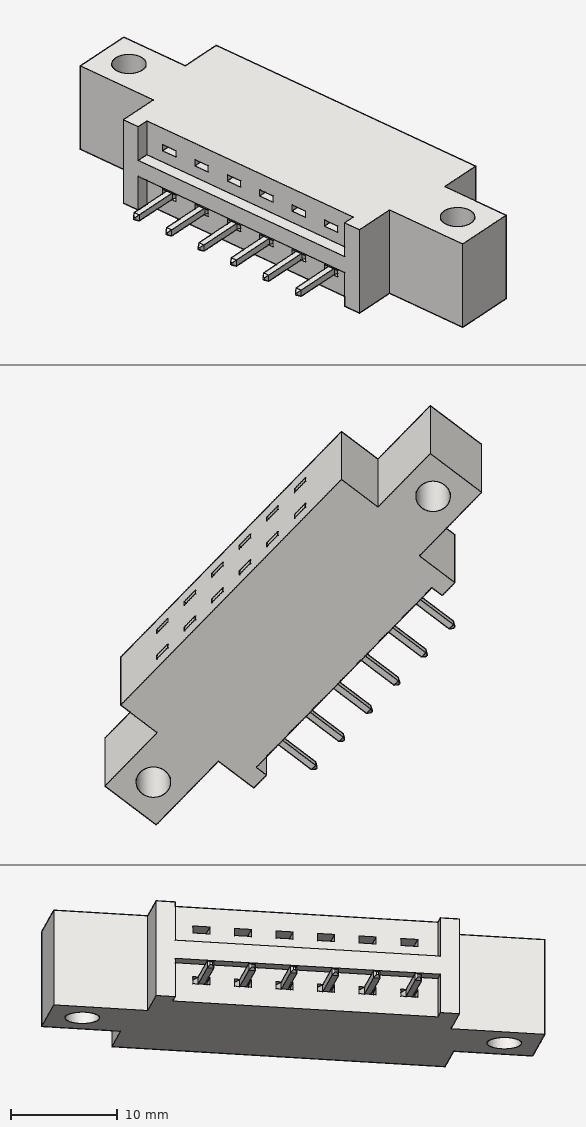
import cadquery as cq

housing_height = 9.4
overall_width = 46.79
rear_width = 31.75
front_width = 28.9
housing_depth = 15.24
flange_rear_y = -4.51
flange_depth = 6.35
flange_front_y = flange_rear_y - flange_depth

mount_hole_diameter = 3.24
mount_hole_spacing = 40.2
mount_hole_y = flange_rear_y - flange_depth / 2

recess_width = 25.25
recess_depth = 1.27
rib_thickness = 1.8
recess_height = (housing_height - rib_thickness) / 2
recess_floor_y = -housing_depth + recess_depth

contact_count = 6
contact_pitch = 3.96
slot_width = 1.62
slot_height = 0.7
slot_edge_offset = 2.19
lower_row_z = slot_edge_offset
upper_row_z = housing_height - slot_edge_offset

blade_side_gap = 0.05
blade_width = slot_width - 2 * blade_side_gap
contact_thickness = slot_height
tail_width = 0.62
tail_projection = 3.82
taper_start_depth = 0.1
taper_length = 1.1
tip_length = 0.36
tip_inset = 0.21
tail_end_y = -housing_depth - tail_projection
taper_front_y = recess_floor_y + taper_start_depth
taper_rear_y = taper_front_y + taper_length

contact_xs = [(i - (contact_count - 1) / 2) * contact_pitch for i in range(contact_count)]


def make_block(width, rear_y, front_y, bottom_z, height):
    """Rectangular block centred on X = 0."""
    return (
        cq.Workplane("XY", origin=(0, (rear_y + front_y) / 2, bottom_z))
        .box(width, rear_y - front_y, height, centered=(True, True, False))
    )


def make_housing():
    """Stepped block with mounting holes, front recesses and through slots."""
    body = make_block(rear_width, 0, flange_front_y, 0, housing_height)
    body = body.union(make_block(overall_width, flange_rear_y, flange_front_y, 0, housing_height))
    body = body.union(make_block(front_width, flange_rear_y, -housing_depth, 0, housing_height))

    mount_holes = (
        cq.Workplane("XY")
        .pushPoints([(side * mount_hole_spacing / 2, mount_hole_y) for side in (-1, 1)])
        .circle(mount_hole_diameter / 2)
        .extrude(housing_height)
    )
    body = body.cut(mount_holes)

    for recess_bottom_z in (0, housing_height - recess_height):
        body = body.cut(
            make_block(recess_width, recess_floor_y, -housing_depth, recess_bottom_z, recess_height)
        )

    slots = (
        cq.Workplane("XZ")
        .pushPoints([(x, z) for x in contact_xs for z in (lower_row_z, upper_row_z)])
        .rect(slot_width, slot_height)
        .extrude(housing_depth)
    )
    return body.cut(slots)


def make_contact(x):
    """One contact: blade, taper and tail cut from flat stock, with a four-sided pointed tip."""
    half_blade = blade_width / 2
    half_tail = tail_width / 2
    tip_base_y = tail_end_y + tip_length

    flat = (
        cq.Workplane("XY", origin=(x, 0, lower_row_z - contact_thickness / 2))
        .polyline([
            (-half_blade, 0),
            (-half_blade, taper_rear_y),
            (-half_tail, taper_front_y),
            (-half_tail, tip_base_y),
            (half_tail, tip_base_y),
            (half_tail, taper_front_y),
            (half_blade, taper_rear_y),
            (half_blade, 0),
        ])
        .close()
        .extrude(contact_thickness)
    )
    tip = (
        cq.Workplane("XZ", origin=(x, tip_base_y, lower_row_z))
        .rect(tail_width, contact_thickness)
        .workplane(offset=tip_length)
        .rect(tail_width - 2 * tip_inset, contact_thickness - 2 * tip_inset)
        .loft(combine=True)
    )
    return flat.union(tip)


housing = make_housing()
contacts = [make_contact(x) for x in contact_xs]

result = cq.Compound.makeCompound([housing.val(), *[contact.val() for contact in contacts]])